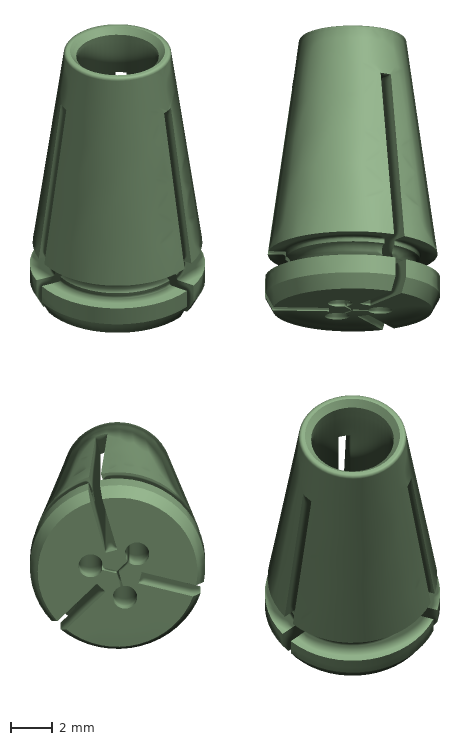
import cadquery as cq

height = 13.6
flange_radius = 4.25
flange_top = 1.6
base_radius = 3.86
base_chamfer_height = 0.71

groove_shoulder_radius = 3.25
groove_bottom_radius = 3.03
groove_shoulder_height = 0.26
groove_corner_fillet = 0.1

taper_bottom = 2.8
taper_bottom_radius = 4.11
taper_top_radius = 2.58
nose_fillet = 0.16

bore_radius = 4.0 / 2
bore_floor = 7.58
mouth_radius = 2.3
mouth_depth = 0.3

segment_count = 3
segment_angle = 360 / segment_count
slot_width = 0.6
slot_inner_radius = 1.13
slot_top = 11.19
hole_diameter = 1.18
hole_wall_gap = 0.07
hole_center_radius = bore_radius - hole_diameter / 2 - hole_wall_gap
slit_width = 0.12


def make_body():
    """Revolve the flange, groove and taper."""
    groove_low = flange_top + groove_shoulder_height
    groove_high = taper_bottom - groove_shoulder_height
    corner_radius = groove_shoulder_radius + groove_corner_fillet
    profile = (
        cq.Workplane("XZ")
        .lineTo(base_radius, 0)
        .lineTo(flange_radius, base_chamfer_height)
        .lineTo(flange_radius, flange_top)
        .lineTo(corner_radius, flange_top)
        .radiusArc((groove_shoulder_radius, flange_top + groove_corner_fillet), groove_corner_fillet)
        .lineTo(groove_shoulder_radius, groove_low)
        .threePointArc(
            (groove_bottom_radius, (groove_low + groove_high) / 2),
            (groove_shoulder_radius, groove_high),
        )
        .lineTo(groove_shoulder_radius, taper_bottom - groove_corner_fillet)
        .radiusArc((corner_radius, taper_bottom), groove_corner_fillet)
        .lineTo(taper_bottom_radius, taper_bottom)
        .lineTo(taper_top_radius, height)
        .lineTo(0, height)
        .close()
    )
    body = profile.revolve(360, (0, 0, 0), (0, 1, 0))
    return body.faces(">Z").edges().fillet(nose_fillet)


def make_bore():
    """Revolve the blind bore with its conical mouth."""
    return (
        cq.Workplane("XZ")
        .moveTo(0, bore_floor)
        .lineTo(bore_radius, bore_floor)
        .lineTo(bore_radius, height - mouth_depth)
        .lineTo(mouth_radius, height)
        .lineTo(0, height)
        .close()
        .revolve(360, (0, 0, 0), (0, 1, 0))
    )


def make_segment_cuts():
    """Outer slot on +X, with the round hole and its slit to the axis on -X."""
    slot = cq.Workplane("XY").box(
        flange_radius, slot_width, slot_top, centered=(False, True, False)
    ).translate((slot_inner_radius, 0, 0))
    hole = (
        cq.Workplane("XY")
        .center(-hole_center_radius, 0)
        .circle(hole_diameter / 2)
        .extrude(bore_floor)
    )
    slit = cq.Workplane("XY").box(
        hole_center_radius, slit_width, bore_floor, centered=(False, True, False)
    ).translate((-hole_center_radius, 0, 0))
    return slot.union(hole).union(slit)


result = make_body().cut(make_bore())
segment_cuts = make_segment_cuts()
for segment in range(segment_count):
    result = result.cut(segment_cuts.rotate((0, 0, 0), (0, 0, 1), segment * segment_angle))